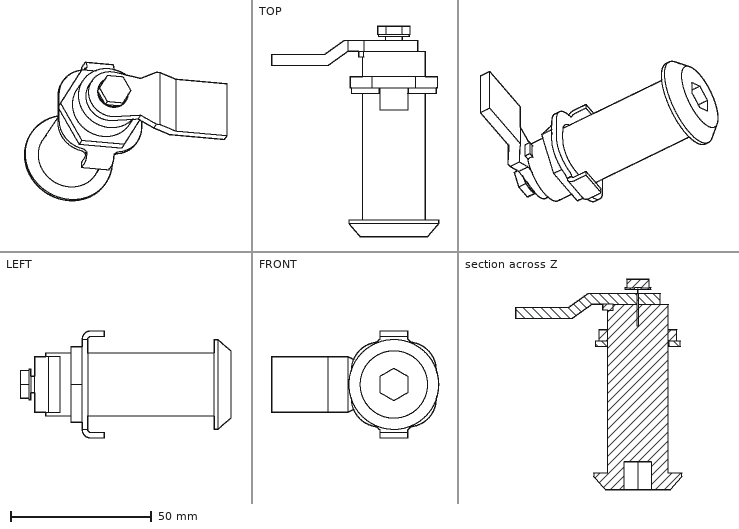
import cadquery as cq
import math


barrel_diameter = 22.5
barrel_end = 66.0
flange_diameter = 32.0
flange_face_diameter = 24.0
flange_bevel_length = 4.65
flange_back = 6.0
socket_across_flats = 10.0
socket_depth = 10.0
socket_turn = 30

sheet_thickness = 2.0
washer_back = 53.0
washer_half_width = 15.15
washer_corner_radius = 10.1
washer_hole_across_flats = 22.0
washer_hole_corner_radius = 8.4
tab_width = 10.0
tab_root_radius = 2.0
tab_bend_inner_radius = 1.0
tab_span = 38.2
tab_tip = 45.1

nut_across_flats = 27.0
nut_thickness = 4.0

cam_thickness = 4.0
cam_drop = 5.0
cam_arm_end = -43.5
cam_arm_width = 19.9
cam_lower_bend = -23.4
cam_upper_bend = -16.35
cam_waist_x = -10.6
cam_waist_width = 14.1
cam_round_radius = 8.55

bolt_tip_depth = 7.5
bolt_diameter = 6.0
bolt_head_across_flats = 10.0
bolt_end = 75.0
bolt_head_height = 3.0
bolt_washer_diameter = 11.0
bolt_washer_hole_diameter = 6.4
bolt_washer_thickness = 0.75

stop_outer_x = -12.5
stop_inner_x = -9.0
stop_height = 6.0
stop_thickness = 2.0

washer_front = washer_back - sheet_thickness
bolt_head_seat = bolt_end - bolt_head_height
bolt_tip = barrel_end - bolt_tip_depth


def plane_at(y):
    """Sketch plane at the given y, with local x = X, local y = Z and extrusion toward -Y."""
    return cq.Workplane("XZ", origin=(0, y, 0))


def cylinder(diameter, y_start, y_end):
    return plane_at(y_end).circle(diameter / 2).extrude(y_end - y_start)


def hex_prism(across_flats, y_start, y_end, turn=0):
    """Hexagonal prism along Y; with no turn its corners point along X."""
    corner_diameter = across_flats / math.cos(math.pi / 6)
    prism = plane_at(y_end).polygon(6, corner_diameter).extrude(y_end - y_start)
    return prism.rotate((0, 0, 0), (0, 1, 0), turn)


def make_stop_block():
    length = stop_inner_x - stop_outer_x
    block = plane_at(barrel_end).center(stop_outer_x + length / 2, 0)
    return block.rect(length, stop_height).extrude(stop_thickness)


def make_housing():
    half_profile = [
        (0, 0),
        (flange_face_diameter / 2, 0),
        (flange_diameter / 2, flange_bevel_length),
        (flange_diameter / 2, flange_back),
        (barrel_diameter / 2, flange_back),
        (barrel_diameter / 2, barrel_end),
        (0, barrel_end),
    ]
    body = cq.Workplane("XY").polyline(half_profile).close().revolve(360, (0, 0, 0), (0, 1, 0))
    key_socket = hex_prism(socket_across_flats, 0, socket_depth, turn=socket_turn)
    bolt_hole = cylinder(bolt_diameter, bolt_tip, barrel_end)
    return body.cut(key_socket).cut(bolt_hole).cut(make_stop_block())


def rounded_square(half_width, corner_radius, y_start, y_end):
    block = plane_at(y_end).rect(2 * half_width, 2 * half_width).extrude(y_end - y_start)
    return block.edges("|Y").fillet(corner_radius)


def make_tab_root(bend_start):
    """Plate neck joining the upper tab to the washer, flared by concave arcs up to the bend line."""
    corner_center = washer_half_width - washer_corner_radius
    arc_center_x = tab_width / 2 + tab_root_radius
    center_distance = washer_corner_radius + tab_root_radius
    arc_center_z = corner_center + math.sqrt(center_distance**2 - (arc_center_x - corner_center) ** 2)
    contact_share = washer_corner_radius / center_distance
    contact_x = corner_center + (arc_center_x - corner_center) * contact_share
    neck_bottom = barrel_diameter / 2
    neck = plane_at(washer_back).center(0, (neck_bottom + bend_start) / 2)
    neck = neck.rect(2 * contact_x, bend_start - neck_bottom).extrude(sheet_thickness)
    flares = plane_at(washer_back).pushPoints([(-arc_center_x, arc_center_z), (arc_center_x, arc_center_z)])
    flares = flares.circle(tab_root_radius).extrude(sheet_thickness)
    return neck.cut(flares)


def make_clip_washer():
    plate = rounded_square(washer_half_width, washer_corner_radius, washer_front, washer_back)
    hole = rounded_square(
        washer_hole_across_flats / 2, washer_hole_corner_radius, washer_front, washer_back
    )
    plate = plate.cut(hole).cut(cylinder(barrel_diameter, washer_front, washer_back))
    outer_radius = tab_bend_inner_radius + sheet_thickness
    tab_top = tab_span / 2
    bend_start = tab_top - outer_radius
    bend_end = washer_back - outer_radius
    diagonal = math.sqrt(0.5)
    tab_profile = (
        cq.Workplane("YZ", origin=(-tab_width / 2, 0, 0))
        .moveTo(washer_back, bend_start)
        .threePointArc(
            (bend_end + outer_radius * diagonal, bend_start + outer_radius * diagonal),
            (bend_end, tab_top),
        )
        .lineTo(tab_tip, tab_top)
        .lineTo(tab_tip, tab_top - sheet_thickness)
        .lineTo(bend_end, tab_top - sheet_thickness)
        .threePointArc(
            (
                bend_end + tab_bend_inner_radius * diagonal,
                bend_start + tab_bend_inner_radius * diagonal,
            ),
            (washer_front, bend_start),
        )
        .close()
    )
    tab = tab_profile.extrude(tab_width).union(make_tab_root(bend_start))
    return plate.union(tab).union(tab.mirror("XY"))


def make_nut():
    nut = hex_prism(nut_across_flats, washer_back, washer_back + nut_thickness)
    return nut.cut(cylinder(barrel_diameter, washer_back, washer_back + nut_thickness))


def make_cam():
    top = barrel_end + cam_thickness
    bend_angle = math.atan2(cam_drop, cam_upper_bend - cam_lower_bend)
    bend_shift = cam_thickness * math.tan(bend_angle / 2)
    side_profile = [
        (cam_arm_end, barrel_end - cam_drop),
        (cam_lower_bend, barrel_end - cam_drop),
        (cam_upper_bend, barrel_end),
        (cam_round_radius, barrel_end),
        (cam_round_radius, top),
        (cam_upper_bend - bend_shift, top),
        (cam_lower_bend - bend_shift, top - cam_drop),
        (cam_arm_end, top - cam_drop),
    ]
    strip = cq.Workplane("XY", origin=(0, 0, -cam_arm_width / 2))
    strip = strip.polyline(side_profile).close().extrude(cam_arm_width)

    waist_z = cam_waist_width / 2
    waist_angle = math.atan2(waist_z, cam_waist_x)
    tangent_angle = waist_angle - math.acos(cam_round_radius / math.hypot(cam_waist_x, waist_z))
    tangent_x = cam_round_radius * math.cos(tangent_angle)
    tangent_z = cam_round_radius * math.sin(tangent_angle)
    outline = (
        plane_at(top)
        .moveTo(cam_arm_end, -cam_arm_width / 2)
        .lineTo(cam_upper_bend, -cam_arm_width / 2)
        .lineTo(cam_waist_x, -waist_z)
        .lineTo(tangent_x, -tangent_z)
        .threePointArc((cam_round_radius, 0), (tangent_x, tangent_z))
        .lineTo(cam_waist_x, waist_z)
        .lineTo(cam_upper_bend, cam_arm_width / 2)
        .lineTo(cam_arm_end, cam_arm_width / 2)
        .close()
        .extrude(cam_thickness + cam_drop)
    )
    return strip.intersect(outline).cut(cylinder(bolt_diameter, barrel_end, top))


def make_bolt_washer():
    front = bolt_head_seat - bolt_washer_thickness
    ring = cylinder(bolt_washer_diameter, front, bolt_head_seat)
    return ring.cut(cylinder(bolt_washer_hole_diameter, front, bolt_head_seat))


def make_bolt():
    head = hex_prism(bolt_head_across_flats, bolt_head_seat, bolt_end)
    return head.union(cylinder(bolt_diameter, bolt_tip, bolt_head_seat))


housing = make_housing()
clip_washer = make_clip_washer()
nut = make_nut()
cam = make_cam()
stop_block = make_stop_block()
bolt_washer = make_bolt_washer()
bolt = make_bolt()

result = cq.Compound.makeCompound(
    [
        housing.val(),
        clip_washer.val(),
        nut.val(),
        cam.val(),
        stop_block.val(),
        bolt_washer.val(),
        bolt.val(),
    ]
)